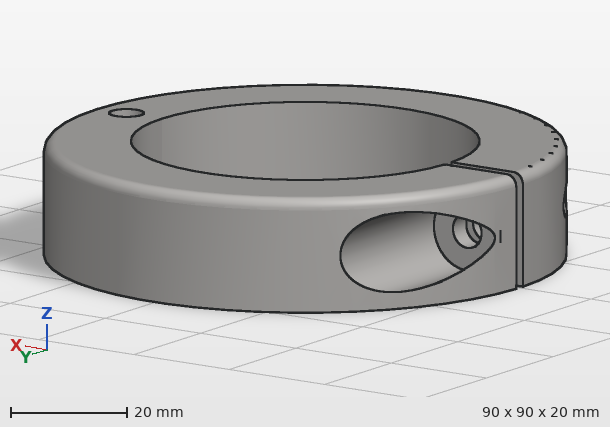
import cadquery as cq

outer_diameter = 90.0
bore_diameter = 60.0
height = 20.0
top_fillet = 2.0

slit_width = 2.0

wall_centre_radius = (outer_diameter + bore_diameter) / 4
hole_diameter = 6.0

screw_height = height / 2
head_pocket_diameter = 14.0
head_seat_y = 5.0


def ring():
    """Plain collar with its outer top edge rounded."""
    disc = cq.Workplane("XY").circle(outer_diameter / 2).extrude(height)
    rounded_disc = disc.faces(">Z").edges().fillet(top_fillet)
    bore = cq.Workplane("XY").circle(bore_diameter / 2).extrude(height)
    return rounded_disc.cut(bore)


def slit():
    """Cutter that opens the ring wall from the bore to the -X rim."""
    return cq.Workplane("XY").box(
        outer_diameter / 2, slit_width, height, centered=(False, True, False)
    ).translate((-outer_diameter / 2, 0, 0))


def vertical_hole():
    """Through hole along Z, opposite the slit."""
    return cq.Workplane("XY").center(wall_centre_radius, 0).circle(hole_diameter / 2).extrude(height)


def cylinder_along_y(diameter, start_y, end_y):
    """Cylinder on the clamp screw axis between two Y positions."""
    return cq.Workplane(
        cq.Solid.makeCylinder(
            diameter / 2,
            end_y - start_y,
            cq.Vector(-wall_centre_radius, start_y, screw_height),
            cq.Vector(0, 1, 0),
        )
    )


def clamp_screw_hole():
    """Through hole for the screw, with a head pocket opening on the +Y side."""
    rim = outer_diameter / 2
    shank = cylinder_along_y(hole_diameter, -rim, rim)
    head_pocket = cylinder_along_y(head_pocket_diameter, head_seat_y, rim)
    return shank.union(head_pocket)


result = ring().cut(slit()).cut(vertical_hole()).cut(clamp_screw_hole())